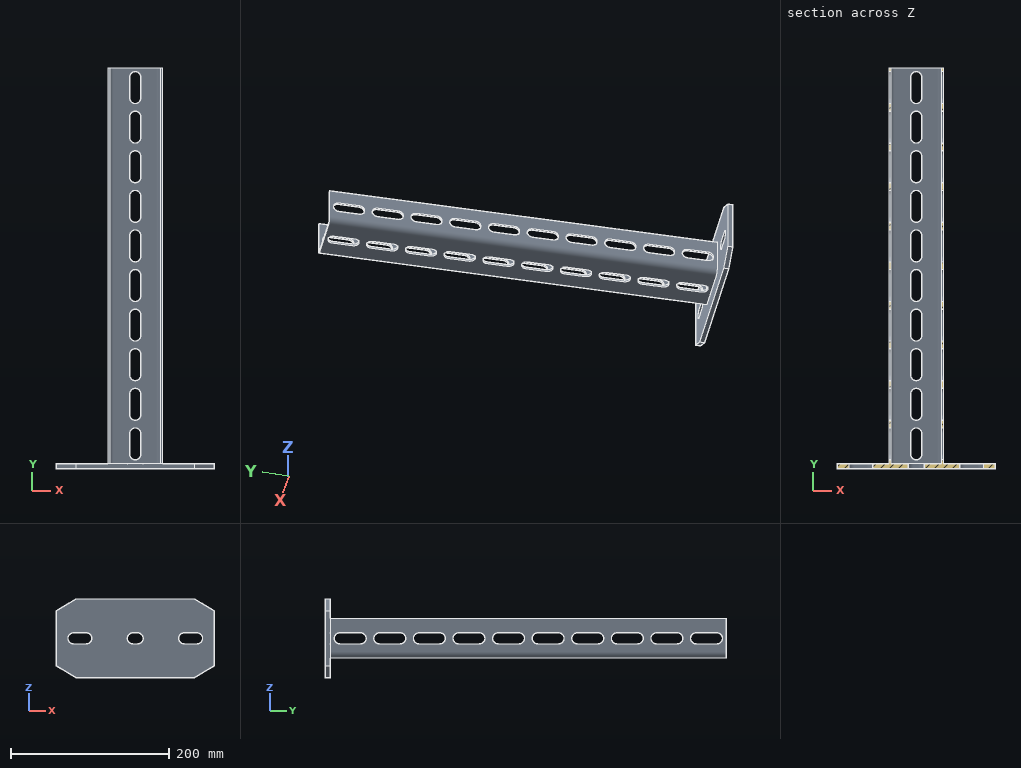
import cadquery as cq

total_length = 506.5
plate_width = 200.0
plate_height = 100.0

plate_thickness = 6.5
corner_cut_x = 25.5
corner_cut_z = 15.0

slot_width = 13.5
side_slot_length = 30.0
side_slot_offset = 70.0
center_slot_length = 20.0

channel_width = 69.5
channel_height = 50.0
sheet_thickness = 3.0
inner_bend_radius = 4.5
outer_bend_radius = inner_bend_radius + sheet_thickness

row_slot_count = 10
row_slot_length = 40.0

channel_length = total_length - plate_thickness
row_pitch = channel_length / row_slot_count
row_positions = [plate_thickness + (index + 0.5) * row_pitch for index in range(row_slot_count)]


def make_plate():
    """Octagonal end plate with three slots; its front face lies on Y = 0."""
    half_width = plate_width / 2
    half_height = plate_height / 2
    flat_x = half_width - corner_cut_x
    flat_z = half_height - corner_cut_z
    outline = [
        (flat_x, half_height),
        (half_width, flat_z),
        (half_width, -flat_z),
        (flat_x, -half_height),
        (-flat_x, -half_height),
        (-half_width, -flat_z),
        (-half_width, flat_z),
        (-flat_x, half_height),
    ]
    plate = cq.Workplane("XZ").polyline(outline).close().extrude(-plate_thickness)
    side_slots = (
        cq.Workplane("XZ")
        .pushPoints([(-side_slot_offset, 0), (side_slot_offset, 0)])
        .slot2D(side_slot_length, slot_width)
        .extrude(-plate_thickness)
    )
    center_slot = cq.Workplane("XZ").slot2D(center_slot_length, slot_width).extrude(-plate_thickness)
    return plate.cut(side_slots).cut(center_slot)


def make_channel_block(width, bottom, top, bend_radius):
    """Bar the length of the channel with its two lower edges rounded."""
    return (
        cq.Workplane("XY")
        .box(width, channel_length, top - bottom, centered=(True, False, False))
        .translate((0, plate_thickness, bottom))
        .edges("|Y and <Z")
        .fillet(bend_radius)
    )


def make_channel():
    """Bent sheet channel with a row of slots in the web and in each flange."""
    top = channel_height / 2
    bottom = -top
    outside = make_channel_block(channel_width, bottom, top, outer_bend_radius)
    inside = make_channel_block(
        channel_width - 2 * sheet_thickness, bottom + sheet_thickness, top, inner_bend_radius
    )
    web_slots = (
        cq.Workplane("XY", origin=(0, 0, bottom))
        .pushPoints([(0, y) for y in row_positions])
        .slot2D(row_slot_length, slot_width, 90)
        .extrude(sheet_thickness)
    )
    flange_slots = (
        cq.Workplane("YZ")
        .pushPoints([(y, 0) for y in row_positions])
        .slot2D(row_slot_length, slot_width)
        .extrude(channel_width / 2, both=True)
    )
    return outside.cut(inside).cut(web_slots).cut(flange_slots)


result = make_plate().union(make_channel())